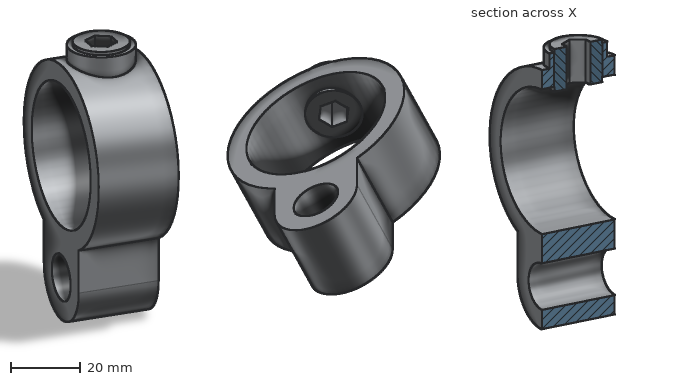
import cadquery as cq
import math

width = 25.0
ring_radius = 28.0
bore_radius = 22.0
lug_radius = 13.0
lug_hole_radius = 7.0
lug_drop = 37.9

boss_radius = 10.0
screw_radius = 8.3
overall_height = 84.5
screw_top = overall_height - lug_drop - lug_radius
screw_proud = 1.0
boss_top = screw_top - screw_proud
screw_bottom = 20.45
socket_across_flats = 8.0
socket_across_corners = socket_across_flats / math.cos(math.radians(30))


def cross_cylinder(radius, z):
    """Cylinder along Y, centred on the collar width."""
    back_plane = cq.Workplane("XZ", origin=(0, width / 2, z))
    return back_plane.circle(radius).extrude(width)


def upright_cylinder(radius, bottom, top):
    """Cylinder along Z on the screw axis."""
    return cq.Workplane("XY").workplane(offset=bottom).circle(radius).extrude(top - bottom)


def make_collar():
    ring = cross_cylinder(ring_radius, 0)
    lug_end = cross_cylinder(lug_radius, -lug_drop)
    lug_web = cq.Workplane("XY").box(2 * lug_radius, width, lug_drop).translate((0, 0, -lug_drop / 2))
    boss = upright_cylinder(boss_radius, 0, boss_top)
    body = ring.union(lug_web).union(lug_end).union(boss)
    bore = cross_cylinder(bore_radius, 0)
    lug_hole = cross_cylinder(lug_hole_radius, -lug_drop)
    screw_hole = upright_cylinder(screw_radius, 0, boss_top)
    return body.cut(bore).cut(lug_hole).cut(screw_hole)


def make_set_screw():
    shank = upright_cylinder(screw_radius, screw_bottom, screw_top)
    socket = (
        cq.Workplane("XY")
        .workplane(offset=screw_bottom)
        .polygon(6, socket_across_corners)
        .extrude(screw_top - screw_bottom)
    )
    return shank.cut(socket)


collar = make_collar()
set_screw = make_set_screw()

result = cq.Compound.makeCompound([collar.val(), set_screw.val()])